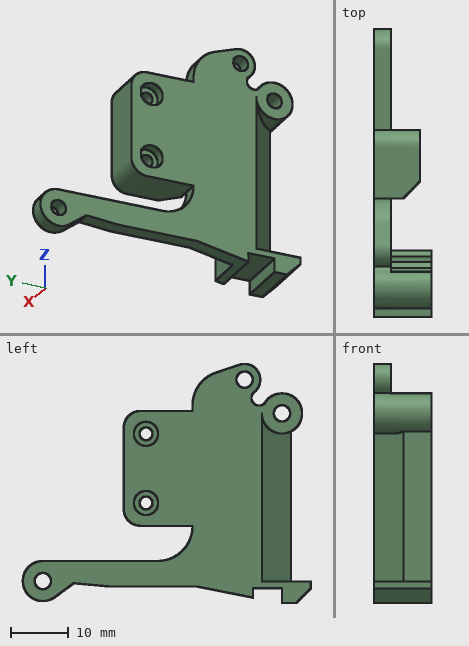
import cadquery as cq
import math

total_width = 10.0
plate_thickness = 3.0

boss_center, boss_radius = (5.0, 32.95), 3.5
lug_center, lug_radius = (11.5, 38.8), 2.75
eye_center, eye_radius = (46.5, 3.85), 3.5
pivot_bore = 2.8
notch_radius = 1.3

plate_back = 20.55
shoulder_radius = 6.0
shoulder_center = (plate_back - shoulder_radius, 34.35)
arm_top = eye_center[1] + eye_radius
arm_fillet = 6.0
arm_knee = (41.15, 3.45)
arm_underside = [(35.1, 2.9), (19.9, 2.9)]

foot_top = 3.8
slot_top = 2.6
slot_front, slot_back = 5.0, 10.0
slot_lip_bottom = 0.95
hook_chamfer = 2.55

wall_front = 3.4
bevel_back = 8.5
wall_back_steps = [(11.6, 31.2), (10.55, 32.25), (9.6, 32.25), (8.55, 33.3), (7.85, 34.95)]
wall_back = wall_back_steps[0][0]

block_back = 32.5
block_height = 20.0
block_middle = 23.4
block_thickness = 8.0
block_corner_radius = 3.0
block_chamfer_width, block_chamfer_length = 2.9, 3.0
screw_y = 28.6
screw_spacing = 12.0
screw_hole = 2.2
screw_head = 4.2
screw_head_depth = 2.0


def on_circle(center, radius, angle):
    """Point on a circle at an angle measured from +Y towards +Z."""
    return (center[0] + radius * math.cos(angle), center[1] + radius * math.sin(angle))


def direction(start, end):
    return math.atan2(end[1] - start[1], end[0] - start[0])


def profile_bar(points, width):
    """Closed YZ polygon extruded from the outer face."""
    return cq.Workplane("YZ").polyline(points).close().extrude(width)


def cylinder(center, diameter, length):
    return cq.Workplane("YZ").center(*center).circle(diameter / 2).extrude(length)


def notch_center():
    """Centre of the notch arc that touches both the lug and the boss."""
    span = math.dist(lug_center, boss_center)
    to_lug = lug_radius + notch_radius
    to_boss = boss_radius + notch_radius
    turn = math.acos((span**2 + to_lug**2 - to_boss**2) / (2 * span * to_lug))
    return on_circle(lug_center, to_lug, direction(lug_center, boss_center) + turn)


def make_plate():
    span = math.dist(lug_center, shoulder_center)
    tangent_turn = math.acos((lug_radius - shoulder_radius) / span)
    top_angle = direction(lug_center, shoulder_center) + tangent_turn
    knee_angle = direction(eye_center, arm_knee) + math.acos(eye_radius / math.dist(eye_center, arm_knee))

    notch = notch_center()
    notch_to_lug = direction(notch, lug_center)
    notch_to_boss = direction(notch, boss_center)
    notch_bottom = direction(boss_center, lug_center) - math.pi / 2
    shoulder_middle = top_angle / 2
    fillet_center = (plate_back + arm_fillet, arm_top + arm_fillet)

    outline = (
        cq.Workplane("YZ")
        .moveTo(slot_back, slot_top)
        .lineTo(slot_back, slot_lip_bottom)
        .lineTo(*arm_underside[1])
        .lineTo(*arm_underside[0])
        .lineTo(*arm_knee)
        .lineTo(*on_circle(eye_center, eye_radius, knee_angle))
        .threePointArc((eye_center[0] + eye_radius, eye_center[1]), (eye_center[0], arm_top))
        .lineTo(fillet_center[0], arm_top)
        .threePointArc(
            on_circle(fillet_center, arm_fillet, math.radians(225)), (plate_back, fillet_center[1])
        )
        .lineTo(plate_back, shoulder_center[1])
        .threePointArc(
            on_circle(shoulder_center, shoulder_radius, shoulder_middle),
            on_circle(shoulder_center, shoulder_radius, top_angle),
        )
        .lineTo(*on_circle(lug_center, lug_radius, top_angle))
        .threePointArc(
            on_circle(lug_center, lug_radius, math.pi),
            on_circle(notch, notch_radius, notch_to_lug),
        )
        .threePointArc(
            on_circle(notch, notch_radius, notch_bottom),
            on_circle(notch, notch_radius, notch_to_boss),
        )
        .lineTo(*boss_center)
        .lineTo(slot_front, slot_top)
        .close()
    )
    return outline.extrude(plate_thickness)


def make_wall_and_foot():
    slope_end = arm_underside[1]
    slope = (slope_end[1] - slot_lip_bottom) / (slope_end[0] - slot_back)
    wall_back_bottom = slot_lip_bottom + slope * (wall_back - slot_back)
    points = [
        (wall_front, foot_top),
        (0, foot_top),
        (0, hook_chamfer),
        (hook_chamfer, 0),
        (slot_front, 0),
        (slot_front, slot_top),
        (slot_back, slot_top),
        (slot_back, slot_lip_bottom),
        (wall_back, wall_back_bottom),
        *wall_back_steps,
        boss_center,
        (wall_front, boss_center[1]),
    ]
    return profile_bar(points, total_width)


def make_front_bevel():
    """45 degree corner removed from the wall between the foot and the boss."""
    bevel_width = bevel_back - wall_front
    return (
        cq.Workplane("XY", origin=(0, 0, foot_top))
        .polyline([(0, wall_front), (0, bevel_back), (bevel_width, wall_front)])
        .close()
        .extrude(boss_center[1] - foot_top)
    )


def make_boss_flat():
    """Sliver beyond the plate that trims the boss flush with the top slope of the wall."""
    slope_bottom, slope_top = wall_back_steps[-2:]
    corner = (slope_bottom[0], slope_top[1])
    sliver = profile_bar([slope_bottom, slope_top, corner], total_width - plate_thickness)
    return sliver.translate((plate_thickness, 0, 0))


def make_mounting_block():
    chamfer_start = block_thickness - block_chamfer_width
    block = (
        cq.Workplane("XY", origin=(0, 0, block_middle - block_height / 2))
        .moveTo(0, plate_back)
        .lineTo(chamfer_start, plate_back)
        .lineTo(block_thickness, plate_back + block_chamfer_length)
        .lineTo(block_thickness, block_back)
        .lineTo(0, block_back)
        .close()
        .extrude(block_height)
        .edges("|X and >Y")
        .fillet(block_corner_radius)
    )
    for side in (-1, 1):
        center = (screw_y, block_middle + side * screw_spacing / 2)
        block = block.cut(cylinder(center, screw_hole, block_thickness))
        block = block.cut(cylinder(center, screw_head, screw_head_depth))
    return block


result = make_plate().union(make_wall_and_foot()).cut(make_front_bevel())
result = result.union(cylinder(boss_center, 2 * boss_radius, total_width)).cut(make_boss_flat())
result = result.union(make_mounting_block())
for pivot in (boss_center, lug_center, eye_center):
    result = result.cut(cylinder(pivot, pivot_bore, total_width))